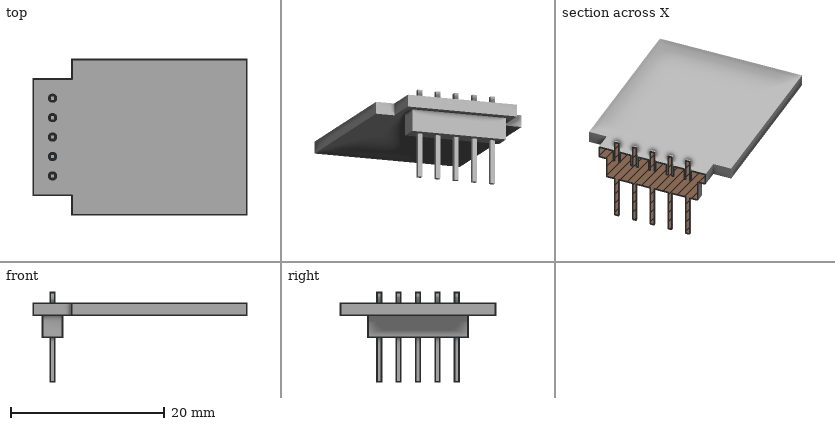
import cadquery as cq

board_length = 27.94
board_width = 20.32
board_thickness = 1.6
pitch = 2.54
tab_length = 2 * pitch
tab_width = board_width - 2 * pitch

pin_count = 5
pin_side = 0.62
pin_length = 11.7
pin_rise = 1.4
pin_row_x = pitch
hole_diameter = 0.98
header_depth = 2.64
header_width = 13.1
header_height = 2.9

pin_top = board_thickness + pin_rise
pin_positions = [(pin_row_x, (i - (pin_count - 1) / 2) * pitch) for i in range(pin_count)]


def upright_box(length, width, bottom, height, centers):
    """Boxes of one size standing at each (x, y) center."""
    return (
        cq.Workplane("XY", origin=(0, 0, bottom))
        .pushPoints(centers)
        .rect(length, width)
        .extrude(height)
    )


def make_board():
    """Plate with a narrower tab at its -X end, bottom face at Z = 0, with the pin holes."""
    body_length = board_length - tab_length
    body_center = (tab_length + body_length / 2, 0)
    body = upright_box(body_length, board_width, 0, board_thickness, [body_center])
    tab = upright_box(tab_length, tab_width, 0, board_thickness, [(tab_length / 2, 0)])
    holes = (
        cq.Workplane("XY")
        .pushPoints(pin_positions)
        .circle(hole_diameter / 2)
        .extrude(board_thickness)
    )
    return body.union(tab).cut(holes)


def make_header():
    """Header block touching the board's underside, with square pins running through it."""
    block = upright_box(header_depth, header_width, -header_height, header_height, [(pin_row_x, 0)])
    pins = upright_box(pin_side, pin_side, pin_top - pin_length, pin_length, pin_positions)
    return block.union(pins)


result = make_board().union(make_header())